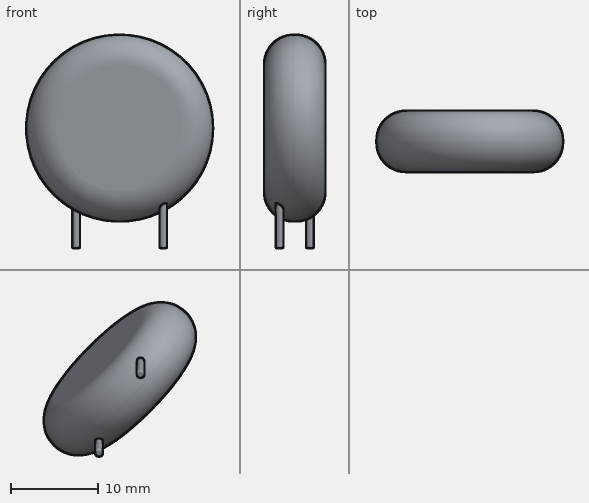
import cadquery as cq

body_diameter = 21.5
body_thickness = 7.1
edge_radius = 3.45

total_height = 24.53
pin_diameter = 0.9
pin_offset_x = 5.0
pin_offset_y = 1.75
tip_radius = 0.2

body_radius = body_diameter / 2
pin_bottom = body_radius - total_height
pin_length = -pin_bottom - body_radius / 2


def make_body():
    """Disc with fully rounded rims."""
    disc = cq.Workplane("XZ").circle(body_radius).extrude(body_thickness / 2, both=True)
    return disc.edges().fillet(edge_radius)


def make_pin(x, y):
    """Vertical pin with a rounded lower tip."""
    pin = cq.Workplane("XY").circle(pin_diameter / 2).extrude(pin_length)
    return pin.faces("<Z").edges().fillet(tip_radius).translate((x, y, pin_bottom))


result = make_body()
for side in (-1, 1):
    result = result.union(make_pin(side * pin_offset_x, -side * pin_offset_y))